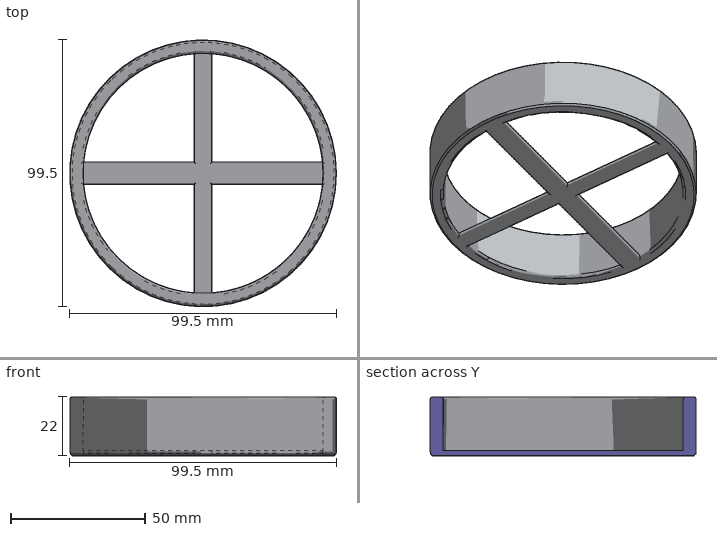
import cadquery as cq

outer_diameter = 99.5
inner_diameter = 89.5
height = 22.0
rim_rounding = 1.0

bevel_height = 1.6
bevel_inset = 0.9
bevel_break_height = 0.7
bevel_break_inset = 0.2

spoke_thickness = 2.0
spoke_edge_rounding = 0.7
x_spoke_width = 8.5
y_spoke_width = 6.7
spoke_length = (outer_diameter + inner_diameter) / 2


def make_rim():
    """Revolved ring: rounded top edges and inner bottom edge, bevelled outer bottom edge."""
    outer_radius = outer_diameter / 2
    inner_radius = inner_diameter / 2
    profile = (
        cq.Workplane("XZ")
        .moveTo(inner_radius, 0)
        .lineTo(outer_radius - bevel_inset, 0)
        .lineTo(outer_radius - bevel_break_inset, bevel_break_height)
        .lineTo(outer_radius, bevel_height)
        .lineTo(outer_radius, height)
        .lineTo(inner_radius, height)
        .close()
    )
    ring = profile.revolve(360, (0, 0, 0), (0, 1, 0))
    ring = ring.faces(">Z").edges().fillet(rim_rounding)
    return ring.faces("<Z").edges(cq.selectors.RadiusNthSelector(0)).fillet(rim_rounding)


def make_spokes():
    """Flat cross with rounded upper and lower edges."""
    x_spoke = cq.Workplane("XY").box(
        spoke_length, x_spoke_width, spoke_thickness, centered=(True, True, False)
    )
    y_spoke = cq.Workplane("XY").box(
        y_spoke_width, spoke_length, spoke_thickness, centered=(True, True, False)
    )
    cross = x_spoke.union(y_spoke)
    return cross.faces("<Z or >Z").edges().fillet(spoke_edge_rounding)


result = make_rim().union(make_spokes())